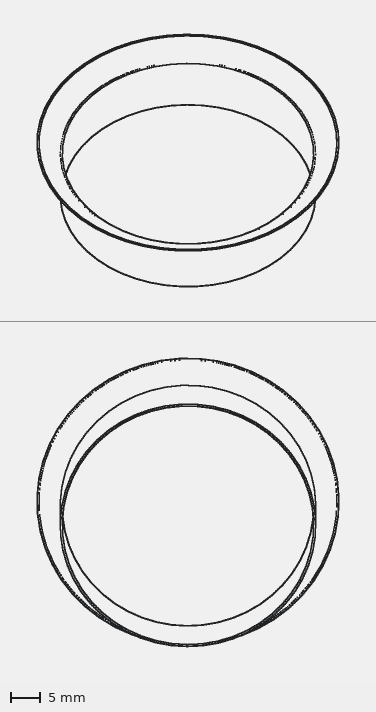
import cadquery as cq

total_height = 12.6
tube_height = 10.0
tube_outer_diameter = 42.9
tube_inner_diameter = 42.2
rim_outer_diameter = 50.7

tube_outer_radius = tube_outer_diameter / 2
tube_inner_radius = tube_inner_diameter / 2
wall = tube_outer_radius - tube_inner_radius
rim_outer_radius = rim_outer_diameter / 2
rim_inner_radius = rim_outer_radius - wall


def make_tube():
    """Thin straight ring standing on the XY plane."""
    return (
        cq.Workplane("XY")
        .circle(tube_outer_radius)
        .circle(tube_inner_radius)
        .extrude(tube_height)
    )


def make_flare():
    """Thin conical ring that sits on the tube and widens up to the rim."""
    return (
        cq.Workplane("XZ")
        .moveTo(tube_inner_radius, tube_height)
        .lineTo(tube_outer_radius, tube_height)
        .lineTo(rim_outer_radius, total_height)
        .lineTo(rim_inner_radius, total_height)
        .close()
        .revolve(360, (0, 0, 0), (0, 1, 0))
    )


tube = make_tube()
flare = make_flare()

result = cq.Compound.makeCompound([tube.val(), flare.val()])